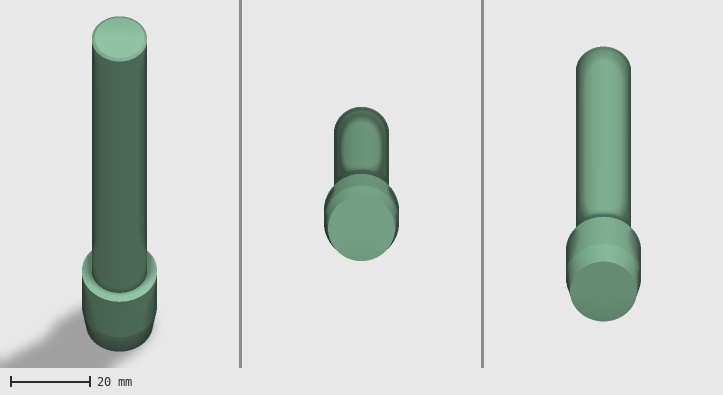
import cadquery as cq

total_length = 125.0
rod_diameter = 14.0
rod_radius = rod_diameter / 2
rod_chamfer_height = 0.5
rod_chamfer_width = 0.8

sleeve_diameter = 19.0
sleeve_radius = sleeve_diameter / 2
tip_radius = 16.9 / 2
taper_height = 7.9
shoulder_height = 23.2
crown_rise = 0.4


def make_rod():
    """Full-length round rod with a chamfered upper end."""
    rod = cq.Workplane("XY").circle(rod_radius).extrude(total_length)
    return rod.faces(">Z").chamfer(rod_chamfer_height, rod_chamfer_width)


def make_sleeve():
    """Sleeve with a tapered lower end, a through bore and a slightly conical top face."""
    half_section = (
        cq.Workplane("XZ")
        .moveTo(rod_radius, 0)
        .lineTo(tip_radius, 0)
        .lineTo(sleeve_radius, taper_height)
        .lineTo(sleeve_radius, shoulder_height)
        .lineTo(rod_radius, shoulder_height + crown_rise)
        .close()
    )
    return half_section.revolve(360, (0, 0, 0), (0, 1, 0))


rod = make_rod()
sleeve = make_sleeve()
result = cq.Compound.makeCompound([rod.val(), sleeve.val()])